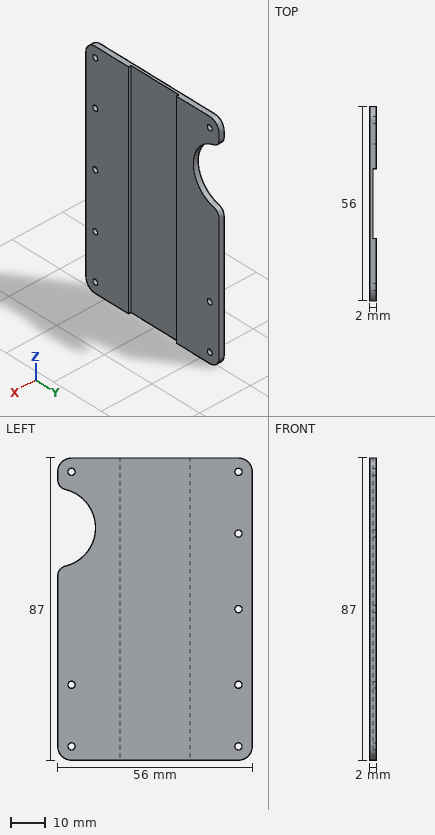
import cadquery as cq
import math

thickness = 2.0
width = 56.0
height = 87.0
corner_radius = 4.0

hole_diameter = 2.0
hole_inset = 4.0
inner_hole_height = 21.75

notch_depth = 10.9
notch_radius = 11.3
notch_center_height = 23.4
notch_lip_radius = 3.0

channel_width = 20.0
channel_depth = 1.0


def make_plate():
    plate = cq.Workplane("XY").box(thickness, width, height)
    return plate.edges("|X").fillet(corner_radius)


def make_notch():
    """Circular bite whose mouth flares out through arcs tangent to the plate edge."""
    edge_y = width / 2
    center_y = edge_y - notch_depth + notch_radius
    lip_center_y = edge_y - notch_lip_radius
    center_distance = notch_radius + notch_lip_radius
    lip_height = math.sqrt(center_distance**2 - (center_y - lip_center_y) ** 2)

    along = notch_radius / center_distance
    touch_y = center_y + along * (lip_center_y - center_y)
    touch_height = along * lip_height

    touch_angle = math.atan2(touch_height - lip_height, touch_y - lip_center_y)
    middle_angle = touch_angle / 2
    middle_y = lip_center_y + notch_lip_radius * math.cos(middle_angle)
    middle_height = lip_height + notch_lip_radius * math.sin(middle_angle)

    return (
        cq.Workplane("YZ", origin=(0, 0, notch_center_height))
        .moveTo(edge_y, lip_height)
        .threePointArc((middle_y, middle_height), (touch_y, touch_height))
        .threePointArc((edge_y - notch_depth, 0), (touch_y, -touch_height))
        .threePointArc((middle_y, -middle_height), (edge_y, -lip_height))
        .close()
        .extrude(thickness, both=True)
    )


def make_holes():
    side = width / 2 - hole_inset
    end = height / 2 - hole_inset
    minus_y_side = [(-side, z) for z in (-end, -inner_hole_height, 0, inner_hole_height, end)]
    plus_y_side = [(side, z) for z in (-end, -inner_hole_height, end)]
    return (
        cq.Workplane("YZ")
        .pushPoints(minus_y_side + plus_y_side)
        .circle(hole_diameter / 2)
        .extrude(thickness, both=True)
    )


def make_channel():
    return (
        cq.Workplane("XY")
        .box(2 * channel_depth, channel_width, height)
        .translate((thickness / 2, 0, 0))
    )


result = make_plate().cut(make_notch()).cut(make_holes()).cut(make_channel())